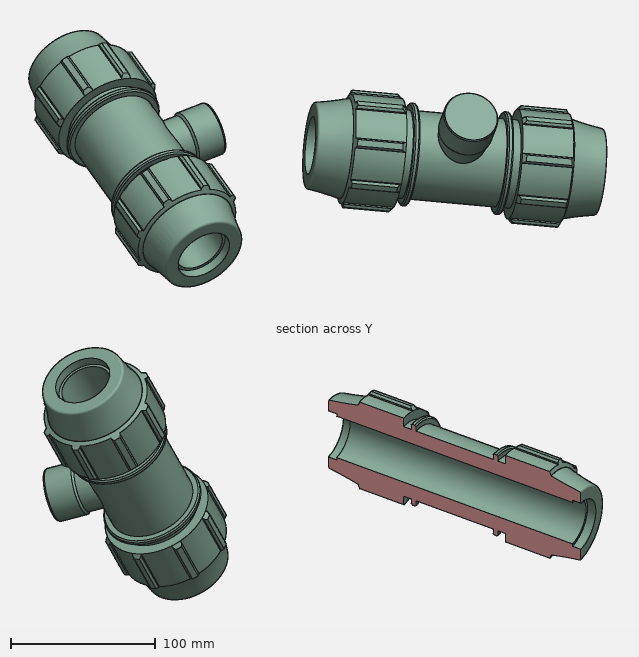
import cadquery as cq
import math


length = 203.0
half_length = length / 2
tube_radius = 61.5 / 2
bore_radius = 36.0 / 2
mouth_radius = 40.0 / 2
mouth_depth = 6.7

flange_radius = 71.3 / 2
flange_width = 4.0
flange_edge = 1.0
flange_from_end = 66.5

nose_length = 23.8
nose_tip_radius = 30.0
nose_middle_radius = 32.0
nose_base_radius = 35.0
nose_fillet = 1.6

nut_end = 60.7
nut_radius = 38.2
nut_front_radius = 35.1

rib_count = 8
rib_height = 40.8
rib_top_half_width = 2.2
rib_base_half_width = 3.5
rib_shoulder_height = 39.0
rib_front_run = 2.5
rib_top_radius = math.hypot(rib_height, rib_top_half_width)
rib_back_chamfer = rib_top_radius - nut_radius
rib_embed = 2.0
rib_root = nut_radius - rib_embed

branch_reach = 61.1
neck_radius = 35.0 / 2
head_radius = 38.0 / 2
head_length = 22.3
tip_chamfer_radial = 0.6
tip_chamfer_axial = 1.2
head_back_chamfer = head_radius - neck_radius


def turned(outline):
    """Revolve a closed outline of X and radius about the tube axis."""
    return outline.close().revolve(360, (0, 0, 0), (1, 0, 0))


def ring(start, width, radius):
    """Solid disc on the tube axis, starting at the given X."""
    return cq.Workplane("YZ", origin=(start, 0, 0)).circle(radius).extrude(width)


def nose():
    """Slightly concave taper with a rounded tip, at the -X end."""
    body = turned(
        cq.Workplane("XY")
        .moveTo(-half_length, 0)
        .lineTo(-half_length, nose_tip_radius)
        .threePointArc(
            (-half_length + nose_length / 2, nose_middle_radius),
            (-half_length + nose_length, nose_base_radius),
        )
        .lineTo(-half_length + nose_length, 0)
    )
    return body.faces("<X").edges().fillet(nose_fillet)


def nut():
    """Nut body and ribs, sharing one conical front face, at the -X end."""
    front = -half_length + nose_length
    back = -half_length + nut_end
    envelope = turned(
        cq.Workplane("XY")
        .moveTo(front, 0)
        .lineTo(front, nut_front_radius)
        .lineTo(front + rib_front_run, rib_top_radius)
        .lineTo(back - rib_back_chamfer, rib_top_radius)
        .lineTo(back, nut_radius)
        .lineTo(back, 0)
    )
    blank = ring(front, back - front, nut_radius)
    rib = (
        cq.Workplane("YZ", origin=(front, 0, 0))
        .moveTo(-rib_base_half_width, rib_root)
        .lineTo(-rib_base_half_width, rib_shoulder_height)
        .lineTo(-rib_top_half_width, rib_height)
        .lineTo(rib_top_half_width, rib_height)
        .lineTo(rib_base_half_width, rib_shoulder_height)
        .lineTo(rib_base_half_width, rib_root)
        .close()
        .extrude(back - front)
    )
    pitch = 360 / rib_count
    for index in range(rib_count):
        blank = blank.union(rib.rotate((0, 0, 0), (1, 0, 0), (index + 0.5) * pitch))
    return blank.intersect(envelope)


def flange():
    """Flange with bevelled rims, near the -X nut."""
    disc = ring(-half_length + flange_from_end, flange_width, flange_radius)
    return disc.edges().chamfer(flange_edge)


def branch():
    """Stepped stub from the tube axis toward +Y."""
    head_start = branch_reach - head_length
    outline = (
        cq.Workplane("XY")
        .lineTo(neck_radius, 0)
        .lineTo(neck_radius, head_start)
        .lineTo(head_radius, head_start + head_back_chamfer)
        .lineTo(head_radius, branch_reach - tip_chamfer_axial)
        .lineTo(head_radius - tip_chamfer_radial, branch_reach)
        .lineTo(0, branch_reach)
    )
    return outline.close().revolve(360, (0, 0, 0), (0, 1, 0))


end_fitting = nose().union(nut()).union(flange())
tube = ring(-half_length + nose_length, length - 2 * nose_length, tube_radius)
body = tube.union(end_fitting).union(end_fitting.mirror("YZ")).union(branch())

mouth = ring(-half_length, mouth_depth, mouth_radius)
result = body.cut(ring(-half_length, length, bore_radius)).cut(mouth).cut(mouth.mirror("YZ"))